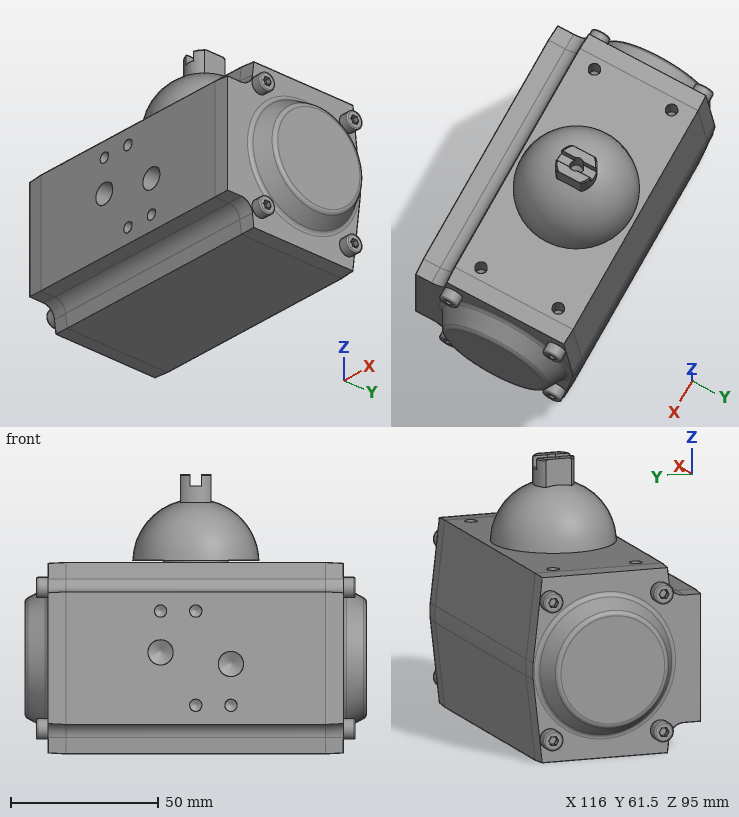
import cadquery as cq
import math


overall_length = 116.0
housing_length = 88.3
cap_thickness = 6.0
cap_draft = 3.0
overall_height = 95.0
housing_height = 65.1
half_height = housing_height / 2
top_half_width = 23.0
back_radius = 26.5
front_reach = 35.0
port_face_half_height = 22.5
groove_radius = 5.0
cap_face = housing_length / 2 + cap_thickness

end_dome_height = overall_length / 2 - cap_face
end_dome_face_radius = 20.0
end_dome_taper = 30.0
end_dome_round = 2.0
end_dome_base_radius = end_dome_face_radius + end_dome_height * math.tan(math.radians(end_dome_taper))

screw_pitch_y = 40.0
screw_pitch_z = 48.0
screw_head_diameter = 7.0
screw_head_height = 4.0
screw_head_round = 0.5
socket_across_corners = 3.5
socket_depth = 2.0

indicator_radius = 21.5
indicator_gap = 0.7
neck_diameter = 22.0
shaft_diameter = 14.0
shaft_height = overall_height - housing_height
shaft_across_flats = 10.4
shaft_chamfer = 0.5
shaft_slot_width = 3.8
shaft_slot_depth = 4.0
shaft_hole_diameter = 4.9
shaft_hole_depth = 9.3
shaft_top = half_height + shaft_height

drill_point_angle = 118.0
mount_hole_diameter = 4.2
mount_hole_depth = 9.3
top_hole_x = 40.0
top_hole_y = 15.0
port_spacing_x = 12.0
front_hole_z = 16.0
port_diameter = 8.6
port_depth = 10.0
port_z = 2.0


def housing():
    """Extrusion with a rounded back, a stepped port face and a groove above and below that face."""
    edge_angle = math.atan2(half_height, top_half_width)
    slope_angle = edge_angle - math.acos(back_radius / math.hypot(top_half_width, half_height))
    tangent_y = back_radius * math.cos(slope_angle)
    tangent_z = back_radius * math.sin(slope_angle)
    groove_y = -top_half_width - (half_height - port_face_half_height) * math.tan(slope_angle)
    block = (
        cq.Workplane("YZ")
        .moveTo(tangent_y, tangent_z)
        .threePointArc((back_radius, 0), (tangent_y, -tangent_z))
        .polyline([
            (top_half_width, -half_height),
            (-top_half_width, -half_height),
            (groove_y, -port_face_half_height),
            (-front_reach, -port_face_half_height),
            (-front_reach, port_face_half_height),
            (groove_y, port_face_half_height),
            (-top_half_width, half_height),
            (top_half_width, half_height),
        ], includeCurrent=True)
        .close()
        .extrude(housing_length / 2, both=True)
    )
    for z in (-port_face_half_height, port_face_half_height):
        corner = cq.selectors.NearestToPointSelector((0, groove_y, z))
        block = block.edges("|X").edges(corner).fillet(groove_radius)
    return block


def end_cap(block):
    """Drafted cap that continues the +X end face of the housing block."""
    return (
        block.faces(">X").wires().toPending()
        .workplane()
        .extrude(cap_thickness, taper=cap_draft, combine=False)
    )


def end_dome():
    """Rounded cone frustum on the +X cap face."""
    cone = (
        cq.Workplane("XY")
        .moveTo(cap_face - cap_thickness, 0)
        .lineTo(cap_face - cap_thickness, end_dome_base_radius)
        .lineTo(cap_face, end_dome_base_radius)
        .lineTo(overall_length / 2, end_dome_face_radius)
        .lineTo(overall_length / 2, 0)
        .close()
        .revolve(360, (0, 0), (1, 0))
    )
    return cone.faces(">X").edges().fillet(end_dome_round)


def base_fillet():
    """Concave ring blending the +X end dome into the cap face."""
    taper = math.radians(end_dome_taper)
    tangent = end_dome_round * math.tan((math.pi / 2 - taper) / 2)
    corner = (cap_face, end_dome_base_radius)
    cone_point = (cap_face + tangent * math.cos(taper), end_dome_base_radius - tangent * math.sin(taper))
    cap_point = (cap_face, end_dome_base_radius + tangent)
    centre = (cap_face + end_dome_round, cap_point[1])
    mid_angle = math.pi + (math.pi / 2 - taper) / 2
    mid_point = (
        centre[0] + end_dome_round * math.cos(mid_angle),
        centre[1] + end_dome_round * math.sin(mid_angle),
    )
    return (
        cq.Workplane("XY")
        .moveTo(*corner)
        .lineTo(*cone_point)
        .threePointArc(mid_point, cap_point)
        .close()
        .revolve(360, (0, 0), (1, 0))
    )


def cap_screws():
    """Four socket head screws on the +X cap face."""
    heads = (
        cq.Workplane("YZ", origin=(cap_face, 0, 0))
        .rect(screw_pitch_y, screw_pitch_z, forConstruction=True)
        .vertices()
        .circle(screw_head_diameter / 2)
        .extrude(screw_head_height)
        .faces(">X").edges().fillet(screw_head_round)
    )
    sockets = (
        cq.Workplane("YZ", origin=(cap_face + screw_head_height, 0, 0))
        .rect(screw_pitch_y, screw_pitch_z, forConstruction=True)
        .vertices()
        .polygon(6, socket_across_corners)
        .extrude(-socket_depth)
    )
    return heads, sockets


def both_ends(shape):
    """The shape together with its mirror image at the -X end."""
    return shape.union(shape.mirror("YZ"))


def indicator():
    """Spherical cap centred on the top face, standing on a short neck."""
    ball = cq.Workplane("XY").sphere(indicator_radius).translate((0, 0, half_height))
    above_gap = (
        cq.Workplane("XY", origin=(0, 0, half_height + indicator_gap))
        .circle(2 * indicator_radius)
        .extrude(indicator_radius)
    )
    neck = (
        cq.Workplane("XY", origin=(0, 0, half_height))
        .circle(neck_diameter / 2)
        .extrude(2 * indicator_gap)
    )
    return ball.intersect(above_gap).union(neck)


def shaft():
    """Drive shaft with two flats facing X and a slot along Y."""
    rod = (
        cq.Workplane("XY", origin=(0, 0, half_height))
        .circle(shaft_diameter / 2)
        .extrude(shaft_height)
        .faces(">Z").edges().chamfer(shaft_chamfer)
    )
    flats = (
        cq.Workplane("XY", origin=(0, 0, half_height))
        .rect(shaft_across_flats, 2 * shaft_diameter)
        .extrude(shaft_height)
    )
    slot = (
        cq.Workplane("XY", origin=(0, 0, shaft_top))
        .rect(shaft_slot_width, 2 * shaft_diameter)
        .extrude(-shaft_slot_depth)
    )
    return rod.intersect(flats).cut(slot)


def drilled_hole(diameter, depth, entry, direction):
    """Blind hole with a drill-point bottom; depth is its straight length."""
    radius = diameter / 2
    point_height = radius / math.tan(math.radians(drill_point_angle / 2))
    plane = cq.Plane(origin=entry, xDir=(1, 0, 0), normal=direction)
    barrel = cq.Solid.makeCylinder(radius, depth, plane.origin, plane.zDir)
    tip_start = plane.toWorldCoords((0, 0, depth))
    tip = cq.Solid.makeCone(radius, 0, point_height, tip_start, plane.zDir)
    return cq.Workplane("XY").add(barrel).union(cq.Workplane("XY").add(tip))


def all_holes():
    """Top mounting holes, port face holes and the shaft centre hole."""
    down = (0, 0, -1)
    inward = (0, 1, 0)
    holes = []
    for x in (-top_hole_x, top_hole_x):
        for y in (-top_hole_y, top_hole_y):
            holes.append(drilled_hole(mount_hole_diameter, mount_hole_depth, (x, y, half_height), down))
    for side in (-1, 1):
        for x in (0, side * port_spacing_x):
            entry = (x, -front_reach, -side * front_hole_z)
            holes.append(drilled_hole(mount_hole_diameter, mount_hole_depth, entry, inward))
        entry = (side * port_spacing_x, -front_reach, -side * port_z)
        holes.append(drilled_hole(port_diameter, port_depth, entry, inward))
    holes.append(drilled_hole(shaft_hole_diameter, shaft_hole_depth, (0, 0, shaft_top), down))
    return holes


housing_block = housing()
result = housing_block.union(both_ends(end_cap(housing_block)))
result = result.union(both_ends(end_dome()))
result = result.union(both_ends(base_fillet()))
screw_heads, screw_sockets = cap_screws()
result = result.union(both_ends(screw_heads)).cut(both_ends(screw_sockets))
result = result.union(indicator()).union(shaft())
for hole in all_holes():
    result = result.cut(hole)